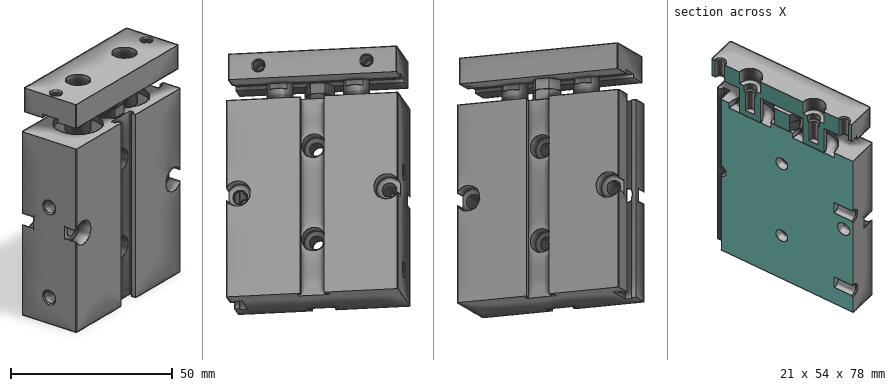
import cadquery as cq
import math

HOUSING_X = 21.0
HOUSING_Y = 54.0
HOUSING_HEIGHT = 63.0
EDGE_BREAK = 0.2

SLOT_MOUTH = 7.6
SLOT_LIP = 1.55
SLOT_WING = 1.0
SIDE_SLOT_DEPTH = 3.0
END_SLOT_DEPTH = 4.0

MIDDLE_HOLE_HEIGHTS = (18.0, 48.0)
MIDDLE_HOLE_DIAMETER = 4.3
MIDDLE_BORE_DIAMETER = 7.5
EDGE_HOLE_Y = 23.5
EDGE_HOLE_HEIGHT = sum(MIDDLE_HOLE_HEIGHTS) / 2
EDGE_HOLE_DIAMETER = 4.5
EDGE_BORE_DIAMETER = 8.0
BORE_DEPTH = 4.5

PORT_HEIGHTS = (9.0, 40.0)
PORT_DIAMETER = 4.1
PORT_RIM_DIAMETER = 5.0
PORT_DEPTH = 7.0

RECESS_DIAMETER = 15.6
RECESS_DEPTH = 2.0

TOTAL_HEIGHT = 78.0
PLATE_X = 20.0
PLATE_Y = 53.0
PLATE_THICKNESS = 8.2
PLATE_BOTTOM = TOTAL_HEIGHT - PLATE_THICKNESS

THREAD_DIAMETER = 3.3
THREAD_RIM_DIAMETER = 4.1
END_THREAD_Y = EDGE_HOLE_Y
SIDE_THREAD_Y = 17.0
SIDE_THREAD_DEPTH = 6.25

ROD_Y = 12.0
ROD_DIAMETER = 8.0
ROD_BOTTOM = HOUSING_HEIGHT - RECESS_DEPTH
ROD_TIP_WIDTH = 6.0
ROD_TIP_IN_PLATE = 1.2
ROD_SHOULDER = HOUSING_HEIGHT + 4.9
ROD_TOP = PLATE_BOTTOM + ROD_TIP_IN_PLATE
ROD_THREAD_DEPTH = 7.8

SCREW_HOLE_DIAMETER = 4.3
SCREW_BORE_DIAMETER = 7.8
SCREW_BORE_DEPTH = 4.8

STOP_X = 3.0
HEX_ACROSS_FLATS = 8.0
HEX_ACROSS_CORNERS = HEX_ACROSS_FLATS / math.cos(math.radians(30))
HEAD_HEIGHT = 3.4
HEAD_TOP = HOUSING_HEIGHT + HEAD_HEIGHT
HEAD_CHAMFER_ANGLE = 30


def block(size_x, size_y, bottom, height):
    return cq.Workplane("XY").workplane(offset=bottom).rect(size_x, size_y).extrude(height)


def cylinder(diameter, length, start, direction):
    solid = cq.Solid.makeCylinder(diameter / 2, length, cq.Vector(*start), cq.Vector(*direction))
    return cq.Workplane(obj=solid)


def threaded_hole(diameter, rim_diameter, depth, start, direction):
    """A round hole with a 45 degree countersink at its mouth."""
    sink_depth = (rim_diameter - diameter) / 2
    sink = cq.Solid.makeCone(
        rim_diameter / 2, diameter / 2, sink_depth, cq.Vector(*start), cq.Vector(*direction)
    )
    return cylinder(diameter, depth, start, direction).union(cq.Workplane(obj=sink))


def t_slot(face_distance, depth, angle):
    """A T-slot cutter opening at +X, turned by an angle about Z."""
    lip = block(SLOT_LIP, SLOT_MOUTH, 0, HOUSING_HEIGHT)
    lip = lip.translate((face_distance - SLOT_LIP / 2, 0, 0))
    inner_depth = depth - SLOT_LIP
    inner = block(inner_depth, SLOT_MOUTH + 2 * SLOT_WING, 0, HOUSING_HEIGHT)
    inner = inner.translate((face_distance - SLOT_LIP - inner_depth / 2, 0, 0))
    return lip.union(inner).rotate((0, 0, 0), (0, 0, 1), angle)


def mounting_hole(y, z, diameter, bore_diameter, bore_depth):
    """A hole through the housing along X with a counterbore at each end."""
    face_x = HOUSING_X / 2
    hole = cylinder(diameter, HOUSING_X, (-face_x, y, z), (1, 0, 0))
    for side in (-1, 1):
        bore = cylinder(bore_diameter, bore_depth, (side * face_x, y, z), (-side, 0, 0))
        hole = hole.union(bore)
    return hole


def make_housing():
    body = block(HOUSING_X, HOUSING_Y, 0, HOUSING_HEIGHT).edges("|Z").chamfer(EDGE_BREAK)

    for angle in (0, 180):
        body = body.cut(t_slot(HOUSING_X / 2, SIDE_SLOT_DEPTH, angle))
    body = body.cut(t_slot(HOUSING_Y / 2, END_SLOT_DEPTH, 90))

    middle_bore_depth = SIDE_SLOT_DEPTH + BORE_DEPTH
    for z in MIDDLE_HOLE_HEIGHTS:
        body = body.cut(
            mounting_hole(0, z, MIDDLE_HOLE_DIAMETER, MIDDLE_BORE_DIAMETER, middle_bore_depth)
        )
    for y in (-EDGE_HOLE_Y, EDGE_HOLE_Y):
        body = body.cut(
            mounting_hole(y, EDGE_HOLE_HEIGHT, EDGE_HOLE_DIAMETER, EDGE_BORE_DIAMETER, BORE_DEPTH)
        )

    for z in PORT_HEIGHTS:
        mouth = (0, -HOUSING_Y / 2, z)
        body = body.cut(threaded_hole(PORT_DIAMETER, PORT_RIM_DIAMETER, PORT_DEPTH, mouth, (0, 1, 0)))

    for y in (-ROD_Y, ROD_Y):
        body = body.cut(cylinder(RECESS_DIAMETER, RECESS_DEPTH, (0, y, ROD_BOTTOM), (0, 0, 1)))
    return body


def make_plate():
    plate = block(PLATE_X, PLATE_Y, PLATE_BOTTOM, PLATE_THICKNESS)
    plate = plate.edges("|Z").chamfer(EDGE_BREAK)
    plate = plate.cut(block(ROD_TIP_WIDTH, PLATE_Y, PLATE_BOTTOM, ROD_TIP_IN_PLATE))
    for side in (-1, 1):
        end_mouth = (0, side * END_THREAD_Y, TOTAL_HEIGHT)
        plate = plate.cut(
            threaded_hole(THREAD_DIAMETER, THREAD_RIM_DIAMETER, PLATE_THICKNESS, end_mouth, (0, 0, -1))
        )
        side_mouth = (-PLATE_X / 2, side * SIDE_THREAD_Y, PLATE_BOTTOM + PLATE_THICKNESS / 2)
        plate = plate.cut(
            threaded_hole(THREAD_DIAMETER, THREAD_RIM_DIAMETER, SIDE_THREAD_DEPTH, side_mouth, (1, 0, 0))
        )
        screw_top = (0, side * ROD_Y, TOTAL_HEIGHT)
        plate = plate.cut(cylinder(SCREW_HOLE_DIAMETER, PLATE_THICKNESS, screw_top, (0, 0, -1)))
        plate = plate.cut(cylinder(SCREW_BORE_DIAMETER, SCREW_BORE_DEPTH, screw_top, (0, 0, -1)))
    return plate


def make_rod(y):
    rod = cylinder(ROD_DIAMETER, ROD_TOP - ROD_BOTTOM, (0, y, ROD_BOTTOM), (0, 0, 1))
    shank = block(ROD_DIAMETER, ROD_DIAMETER, ROD_BOTTOM, ROD_SHOULDER - ROD_BOTTOM)
    tip = block(ROD_TIP_WIDTH, ROD_DIAMETER, ROD_SHOULDER, ROD_TOP - ROD_SHOULDER)
    rod = rod.intersect(shank.union(tip).translate((0, y, 0)))
    mouth = (0, y, ROD_TOP)
    return rod.cut(
        threaded_hole(THREAD_DIAMETER, SCREW_HOLE_DIAMETER, ROD_THREAD_DEPTH, mouth, (0, 0, -1))
    )


def hex_prism(bottom, height):
    """A hexagonal prism with two of its corners pointing along Y."""
    prism = cq.Workplane("XY").workplane(offset=bottom).polygon(6, HEX_ACROSS_CORNERS).extrude(height)
    return prism.rotate((0, 0, 0), (0, 0, 1), 30).translate((STOP_X, 0, 0))


def make_stop_bolt():
    """The lock nut on top of the bolt head, whose upper corners are chamfered by a cone."""
    flat_radius = HEX_ACROSS_FLATS / 2
    cone_radius = flat_radius + HEAD_HEIGHT / math.tan(math.radians(HEAD_CHAMFER_ANGLE))
    cone = cq.Solid.makeCone(
        cone_radius, flat_radius, HEAD_HEIGHT, cq.Vector(STOP_X, 0, HOUSING_HEIGHT), cq.Vector(0, 0, 1)
    )
    head = hex_prism(HOUSING_HEIGHT, HEAD_HEIGHT).intersect(cq.Workplane(obj=cone))
    nut = hex_prism(HEAD_TOP, PLATE_BOTTOM - HEAD_TOP)
    return head.union(nut)


def make_slide():
    """The moving body: plate, rods and stop bolt as one solid."""
    slide = make_plate().union(make_stop_bolt())
    for y in (-ROD_Y, ROD_Y):
        slide = slide.union(make_rod(y))
    return slide


housing = make_housing()
slide = make_slide()

result = cq.Compound.makeCompound([housing.val(), slide.val()])